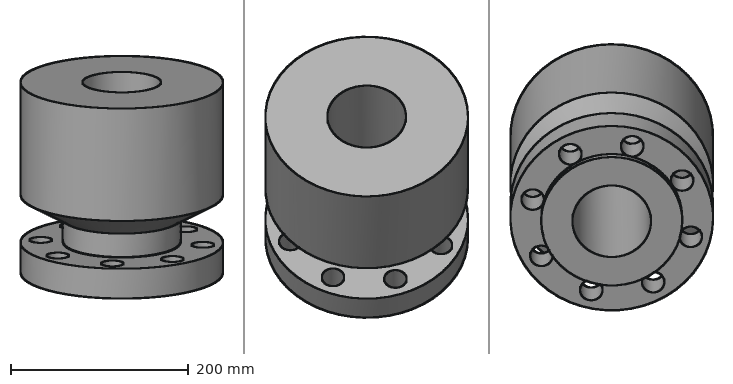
import cadquery as cq

total_height = 230.2
outer_diameter = 228.5
bore_diameter = 88.6
neck_diameter = 133.0
face_diameter = 159.0
face_height = 8.3
flange_thickness = 35.0
neck_height = 28.0
relief_height = 0.7
relief_depth = 0.5
cone_height = 27.6
bolt_count = 8
bolt_circle_diameter = 184.0
bolt_hole_diameter = 25.3

flange_bottom = face_height
flange_top = flange_bottom + flange_thickness
relief_top = flange_top + relief_height
neck_top = flange_top + neck_height
body_bottom = neck_top + cone_height


def turned_body():
    """Raised face, flange, neck with a shallow relief at its foot, cone and large cylinder."""
    outer_radius = outer_diameter / 2
    neck_radius = neck_diameter / 2
    relief_radius = neck_radius - relief_depth
    face_radius = face_diameter / 2
    bore_radius = bore_diameter / 2
    profile = [
        (bore_radius, 0),
        (face_radius, 0),
        (face_radius, flange_bottom),
        (outer_radius, flange_bottom),
        (outer_radius, flange_top),
        (relief_radius, flange_top),
        (relief_radius, relief_top),
        (neck_radius, relief_top),
        (neck_radius, neck_top),
        (outer_radius, body_bottom),
        (outer_radius, total_height),
        (bore_radius, total_height),
    ]
    return cq.Workplane("XZ").polyline(profile).close().revolve(360, (0, 0), (0, 1))


def bolt_holes():
    """Ring of holes through the flange, the first one on the X axis."""
    return (
        cq.Workplane("XY")
        .workplane(offset=flange_bottom)
        .polarArray(bolt_circle_diameter / 2, 0, 360, bolt_count)
        .circle(bolt_hole_diameter / 2)
        .extrude(flange_thickness)
    )


result = turned_body().cut(bolt_holes())